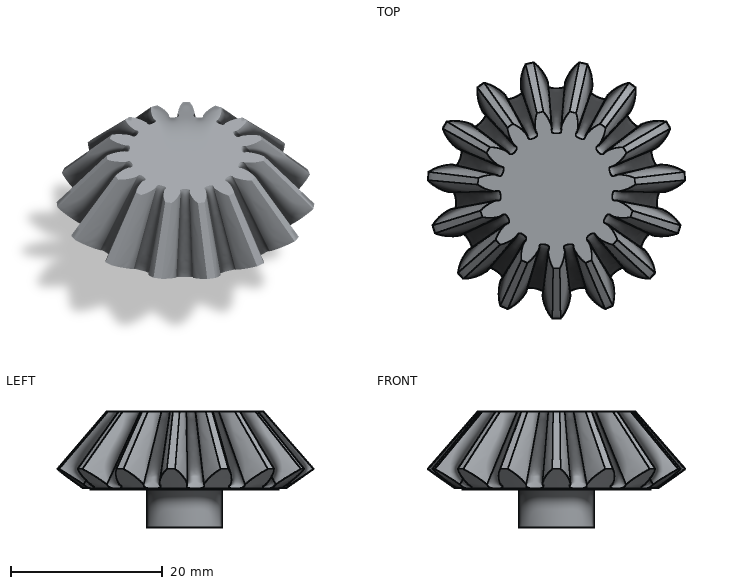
import cadquery as cq
import math

TOOTH_COUNT = 15
FIRST_TOOTH_ANGLE = -90.0

SHAFT_RADIUS = 5.0
SHAFT_LENGTH = SHAFT_RADIUS
HUB_RADIUS = 12.45
HUB_THICKNESS = 0.2
TOOTH_HEIGHT = 10.15

BACK_CONE_RADIUS = 13.45
BACK_CONE_ANGLE = 55.0

SMALL_END = {
    "root": (7.3, 1.3),
    "corner": (7.42, 1.1),
    "widest": (7.95, 1.1),
    "flank": (9.35, 0.9),
    "tip": (10.4, 0.45),
}
LARGE_END = {
    "root": (13.25, 2.25),
    "corner": (13.37, 1.97),
    "widest": (14.33, 1.9),
    "flank": (17.35, 1.35),
    "tip": (19.25, 0.58),
}

base_z = SHAFT_LENGTH + HUB_THICKNESS
face_z = base_z + TOOTH_HEIGHT


def tooth_section(section, z):
    """Closed outline at height z: arc flanks, flat top lands and a smooth curve in each gap."""

    def place(name, side, angle):
        radial, half_width = section[name]
        across = side * half_width
        return (
            radial * math.cos(angle) - across * math.sin(angle),
            radial * math.sin(angle) + across * math.cos(angle),
        )

    first = math.radians(FIRST_TOOTH_ANGLE)
    pitch = math.tau / TOOTH_COUNT
    outline = cq.Workplane("XY", origin=(0, 0, z)).moveTo(*place("widest", -1, first))
    for index in range(TOOTH_COUNT):
        angle = first + index * pitch
        gap_start = [place(name, 1, angle) for name in ("corner", "root")]
        gap_end = [place(name, -1, angle + pitch) for name in ("root", "corner", "widest")]
        outline = (
            outline.threePointArc(place("flank", -1, angle), place("tip", -1, angle))
            .lineTo(*place("tip", 1, angle))
            .threePointArc(place("flank", 1, angle), place("widest", 1, angle))
            .spline(gap_start + gap_end, includeCurrent=True)
        )
    return outline.close().val()


def toothed_body():
    """Teeth running from the large end to the small end, trimmed by the back cone."""
    large_wire = tooth_section(LARGE_END, base_z)
    small_wire = tooth_section(SMALL_END, face_z)
    teeth = cq.Workplane(cq.Solid.makeLoft([large_wire, small_wire], True))
    cone_top_radius = BACK_CONE_RADIUS + TOOTH_HEIGHT * math.tan(math.radians(BACK_CONE_ANGLE))
    back_cone = cq.Solid.makeCone(BACK_CONE_RADIUS, cone_top_radius, TOOTH_HEIGHT, cq.Vector(0, 0, base_z))
    return teeth.intersect(cq.Workplane(back_cone))


shaft = cq.Workplane("XY").circle(SHAFT_RADIUS).extrude(base_z)
hub = cq.Workplane("XY", origin=(0, 0, SHAFT_LENGTH)).circle(HUB_RADIUS).extrude(HUB_THICKNESS)

result = toothed_body().union(hub).union(shaft)